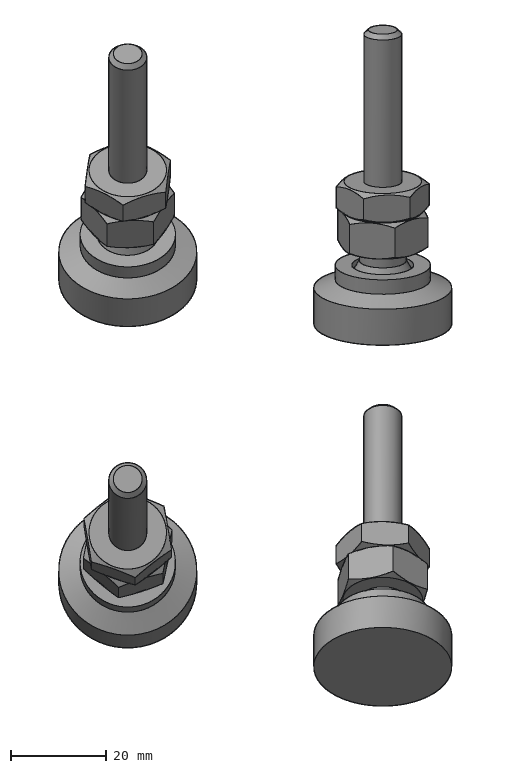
import cadquery as cq
import math

foot_radius = 14.5
foot_side_top = 8.0
collar_radius = 10.0
collar_bottom = 9.8
collar_top = 13.0

head_diameter = 12.95
head_radius = head_diameter / 2
head_bottom = 8.0
neck_radius = 4.95
flare_half_angle = math.radians(30)
neck_straight_bottom = 14.0
head_top = neck_straight_bottom - (head_radius - neck_radius) / math.tan(flare_half_angle)
rod_diameter = 8.0
rod_radius = rod_diameter / 2
rod_top = 65.0
rod_chamfer = 1.0

hex_across_flats = 17.05
hex_corner_radius = hex_across_flats / math.sqrt(3)
stud_hex_bottom = 17.05
stud_hex_top = 25.05
stud_hex_angle = 9.5
stud_hex_face_radius = 8.4
stud_hex_corner_drop = 0.8
nut_top = 31.5
nut_angle = 30
nut_face_radius = 8.1
nut_corner_drop = 0.9


def hexagon(bottom, top, corner_angle, face_radius, corner_drop):
    """Hexagonal prism with conically chamfered corners at both ends."""
    prism = (
        cq.Workplane("XY", origin=(0, 0, bottom))
        .polygon(6, 2 * hex_corner_radius)
        .extrude(top - bottom)
        .rotate((0, 0, 0), (0, 0, 1), corner_angle)
    )
    chamfer_envelope = (
        cq.Workplane("XZ")
        .moveTo(0, bottom)
        .lineTo(face_radius, bottom)
        .lineTo(hex_corner_radius, bottom + corner_drop)
        .lineTo(hex_corner_radius, top - corner_drop)
        .lineTo(face_radius, top)
        .lineTo(0, top)
        .close()
        .revolve()
    )
    return prism.intersect(chamfer_envelope)


def make_foot():
    """Foot with a blind round socket for the stud head."""
    return (
        cq.Workplane("XZ")
        .lineTo(foot_radius, 0)
        .lineTo(foot_radius, foot_side_top)
        .lineTo(collar_radius, collar_bottom)
        .lineTo(collar_radius, collar_top)
        .lineTo(head_radius, collar_top)
        .lineTo(head_radius, head_bottom)
        .lineTo(0, head_bottom)
        .close()
        .revolve()
    )


def make_stud():
    """Head, neck and rod turned in one piece with the hexagon."""
    shaft = (
        cq.Workplane("XZ")
        .moveTo(0, head_bottom)
        .lineTo(head_radius, head_bottom)
        .lineTo(head_radius, head_top)
        .lineTo(neck_radius, neck_straight_bottom)
        .lineTo(neck_radius, stud_hex_bottom)
        .lineTo(rod_radius, stud_hex_bottom)
        .lineTo(rod_radius, rod_top - rod_chamfer)
        .lineTo(rod_radius - rod_chamfer, rod_top)
        .lineTo(0, rod_top)
        .close()
        .revolve()
    )
    stud_hex = hexagon(
        stud_hex_bottom, stud_hex_top, stud_hex_angle, stud_hex_face_radius, stud_hex_corner_drop
    )
    return shaft.union(stud_hex)


def make_nut():
    """Lock nut with a bore that fits the rod."""
    bore = (
        cq.Workplane("XY", origin=(0, 0, stud_hex_top))
        .circle(rod_radius)
        .extrude(nut_top - stud_hex_top)
    )
    nut_blank = hexagon(stud_hex_top, nut_top, nut_angle, nut_face_radius, nut_corner_drop)
    return nut_blank.cut(bore)


foot = make_foot()
stud = make_stud()
nut = make_nut()

result = cq.Compound.makeCompound([foot.val(), stud.val(), nut.val()])